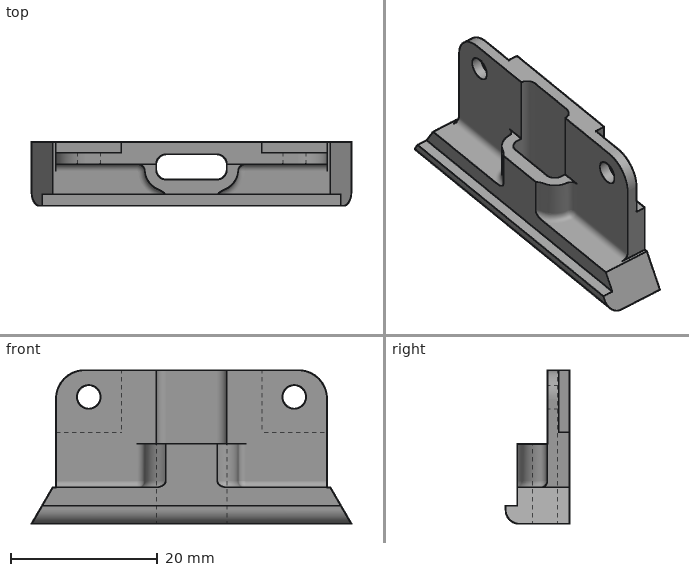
import cadquery as cq
import math

length = 43.65
depth = 8.75
height = 21.0

foot_height = 4.98
end_slope = 30.0
front_face = 7.15
lip_height = 2.5
lip_radius = 1.9

plate_width = 37.02
plate_thickness = 3.0
plate_corner_radius = 3.97

hole_diameter = 3.2
hole_spacing = 28.05
hole_height = 17.35
ear_relief_depth = 1.45
ear_relief_bottom = 12.5
rear_pad_width = 19.12

slot_width = 9.6
slot_depth = 3.4
slot_back = 1.7
slot_radius = 1.35

boss_top = 10.9
boss_radius = 2.93
plate_blend_radius = 1.0
neck_blend_radius = 2.93
neck_blend_offset = 2.2
foot_fillet = 0.9

arc_x = slot_width / 2 - slot_radius
arc_y = -(slot_back + slot_depth - slot_radius)


def box(x_min, x_max, y_min, y_max, z_min, z_max):
    size = (x_max - x_min, y_max - y_min, z_max - z_min)
    return cq.Workplane("XY").box(*size, centered=False).translate((x_min, y_min, z_min))


def boss_outline():
    """Half outline: blend out of the plate, round shoulder, blend towards the front."""
    plate_reach = boss_radius + plate_blend_radius
    neck_reach = boss_radius + neck_blend_radius
    plate_blend_y = -plate_thickness - plate_blend_radius
    plate_blend_x = arc_x + math.sqrt(plate_reach**2 - (plate_blend_y - arc_y) ** 2)
    neck_blend_x = arc_x + neck_blend_offset
    neck_blend_y = arc_y - math.sqrt(neck_reach**2 - neck_blend_offset**2)
    neck_end = math.pi - math.asin((-depth - neck_blend_y) / neck_blend_radius)

    def on_circle(x, y, radius, angle):
        return (x + radius * math.cos(angle), y + radius * math.sin(angle))

    upper = math.atan2(plate_blend_y - arc_y, plate_blend_x - arc_x)
    lower = math.atan2(neck_blend_y - arc_y, neck_blend_x - arc_x)
    plate_mid = (math.pi / 2 + math.pi + upper) / 2
    neck_mid = (neck_end + math.pi + lower) / 2
    return (
        cq.Workplane("XY", origin=(0, 0, foot_height))
        .moveTo(0, -plate_thickness)
        .lineTo(plate_blend_x, -plate_thickness)
        .threePointArc(
            on_circle(plate_blend_x, plate_blend_y, plate_blend_radius, plate_mid),
            on_circle(arc_x, arc_y, boss_radius, upper),
        )
        .threePointArc(
            on_circle(arc_x, arc_y, boss_radius, (upper + lower) / 2),
            on_circle(arc_x, arc_y, boss_radius, lower),
        )
        .threePointArc(
            on_circle(neck_blend_x, neck_blend_y, neck_blend_radius, neck_mid),
            on_circle(neck_blend_x, neck_blend_y, neck_blend_radius, neck_end),
        )
        .lineTo(0, -depth)
        .close()
    )


def filleted_blank():
    """Oversize foot, plate and boss with the fillet running along their common inner edge."""
    half = length / 2
    foot = box(-half, half, -depth, 0, 0, foot_height)
    plate = box(-half, half, -plate_thickness, 0, 0, height)
    half_boss = boss_outline().extrude(boss_top - foot_height)
    blank = foot.union(plate).union(half_boss).union(half_boss.mirror("YZ"))
    margin = 0.05
    inner_edges = cq.selectors.BoxSelector(
        (-half + margin, -depth + margin, foot_height - margin),
        (half - margin, -plate_thickness + margin, foot_height + margin),
    )
    return blank.edges(inner_edges).fillet(foot_fillet)


def front_silhouette():
    """Sloped foot below a plate with rounded upper corners."""
    foot_top_half = length / 2 - foot_height * math.tan(math.radians(end_slope))
    foot = (
        cq.Workplane("XZ")
        .polyline([
            (-length / 2, 0),
            (length / 2, 0),
            (foot_top_half, foot_height),
            (-foot_top_half, foot_height),
        ])
        .close()
        .extrude(depth)
    )
    plate = box(-plate_width / 2, plate_width / 2, -depth, 0, foot_height, height)
    plate = plate.edges("|Y and >Z").fillet(plate_corner_radius)
    return foot.union(plate)


def side_silhouette():
    """Straight front face above a lip whose underside is a quarter round."""
    lip = box(-length / 2, length / 2, -depth, 0, 0, lip_height)
    upper = box(-length / 2, length / 2, -front_face, 0, lip_height, height)
    lip = lip.edges("|X and <Y and <Z").fillet(lip_radius)
    return lip.union(upper)


def slot():
    cutter = box(-slot_width / 2, slot_width / 2, -slot_back - slot_depth, -slot_back, 0, height)
    return cutter.edges("|Z").fillet(slot_radius)


result = filleted_blank().intersect(front_silhouette()).intersect(side_silhouette()).cut(slot())

for side in (-1, 1):
    hole = (
        cq.Workplane("XZ")
        .center(side * hole_spacing / 2, hole_height)
        .circle(hole_diameter / 2)
        .extrude(plate_thickness)
    )
    relief_inner, relief_outer = sorted((side * rear_pad_width / 2, side * plate_width / 2))
    relief = box(relief_inner, relief_outer, -ear_relief_depth, 0, ear_relief_bottom, height)
    result = result.cut(hole).cut(relief)